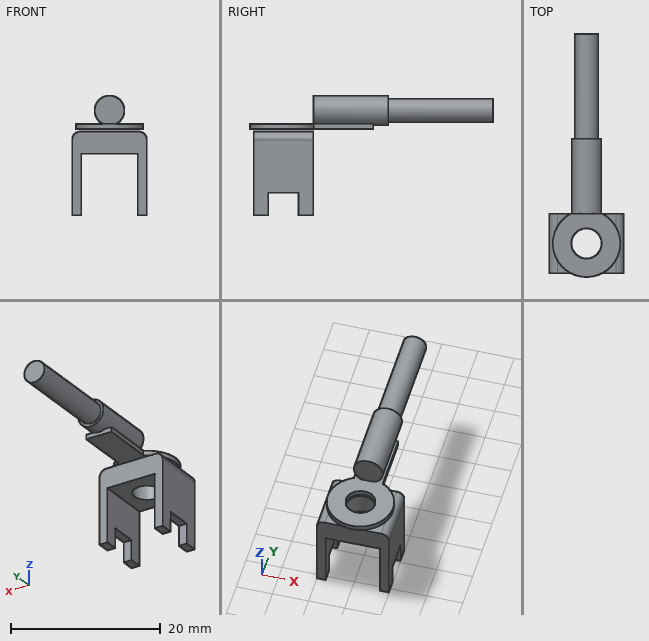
import cadquery as cq


bracket_width = 10.0
bracket_depth = 8.0
bracket_height = 11.2
bridge_thickness = 3.0
wall_thickness = 1.25
shoulder_radius = 1.1
foot_notch_width = 4.0
foot_notch_height = 3.0
hole_diameter = 4.0

ring_gap = 0.3
ring_thickness = 0.7
ring_diameter = 9.0
tongue_width = 4.0
tongue_length = 8.0
barrel_diameter = 4.0
barrel_length = 10.0
barrel_sink = 0.2

wire_diameter = 3.2
wire_length = 14.0

ring_bottom = bracket_height + ring_gap
ring_top = ring_bottom + ring_thickness
barrel_axis_height = ring_top - barrel_sink + barrel_diameter / 2
barrel_start = bracket_depth / 2
tongue_end = barrel_start + tongue_length
wire_start = barrel_start + barrel_length


def rod_along_y(diameter, start, length):
    """Solid round rod on the barrel axis, running from start toward +Y."""
    return (
        cq.Workplane("XZ", origin=(0, start, barrel_axis_height))
        .circle(diameter / 2)
        .extrude(-length)
    )


def make_bracket():
    block = (
        cq.Workplane("XY")
        .box(bracket_width, bracket_depth, bracket_height, centered=(True, True, False))
        .edges("|Y and >Z")
        .fillet(shoulder_radius)
    )
    opening = cq.Workplane("XY").box(
        bracket_width - 2 * wall_thickness,
        bracket_depth,
        bracket_height - bridge_thickness,
        centered=(True, True, False),
    )
    foot_notch = cq.Workplane("XY").box(
        bracket_width, foot_notch_width, foot_notch_height, centered=(True, True, False)
    )
    hole = cq.Workplane("XY").circle(hole_diameter / 2).extrude(bracket_height)
    return block.cut(opening).cut(foot_notch).cut(hole)


def make_terminal():
    plate = cq.Workplane("XY", origin=(0, 0, ring_bottom))
    ring = plate.circle(ring_diameter / 2).extrude(ring_thickness)
    tongue = plate.box(tongue_width, tongue_end, ring_thickness, centered=(True, False, False))
    hole = plate.circle(hole_diameter / 2).extrude(ring_thickness)
    barrel = rod_along_y(barrel_diameter, barrel_start, barrel_length)
    return ring.union(tongue).cut(hole).union(barrel)


def make_wire():
    """Wire butted against the rear face of the barrel."""
    return rod_along_y(wire_diameter, wire_start, wire_length)


bracket = make_bracket()
terminal = make_terminal()
wire = make_wire()

result = cq.Compound.makeCompound([bracket.val(), terminal.val(), wire.val()])